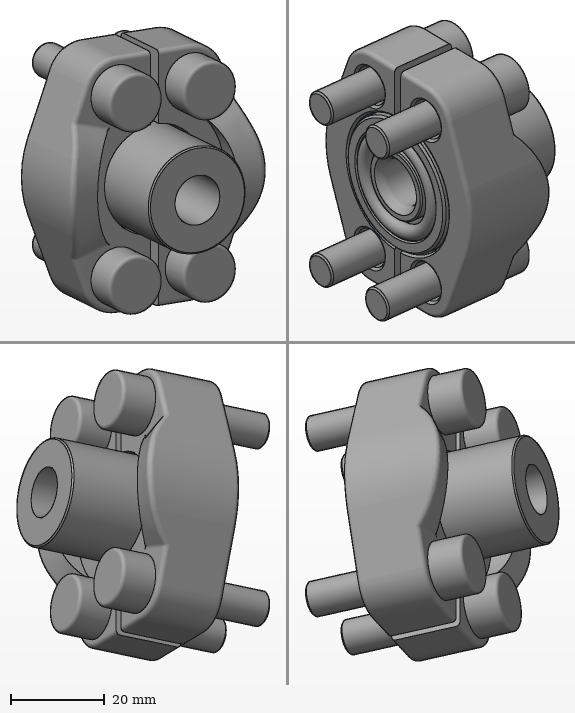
import cadquery as cq
import math


BOLT_SPACING_Y = 18.25
BOLT_SPACING_Z = 40.5
SHANK_D = 7.75
SHANK_TIP_X = -13.95
SHANK_CHAMFER = 0.4
BOLT_HEAD_D = 13.0
BOLT_HEAD_LENGTH = 8.0
BOLT_HEAD_FILLET = 0.8
BOLT_HOLE_D = 9.0
BOLT_HOLE_CHAMFER = 0.55

FLANGE_THICKNESS = 16.1
FLANGE_HEIGHT = 57.0
FLANGE_WIDTH = 47.95
FLANGE_FILLET = 1.0
SPLIT_GAP = 2.0
FLANGE_BORE_D = 24.6
FLANGE_BORE_CHAMFER = 0.7
RECESS_D = 32.5
RECESS_CHAMFER = 0.5

BOSS_PEAK_X = 22.7
BOSS_AXIS_X = -0.15
BOSS_TAPER = 10.0
BOSS_INNER_D = 34.2

HEAD_FACE_X = -0.6
HEAD_BACK_X = 7.1
HEAD_D = 31.75
HEAD_CHAMFER = 0.5
HEAD_BACK_FILLET = 0.35
NECK_FILLET = 0.85
TUBE_D = 23.8
TUBE_END_X = 34.4
TUBE_CHAMFER = 0.35
BORE_D = 11.0
MOUTH_D = 13.0
MOUTH_CHAMFER = 0.35
MOUTH_CONE_LENGTH = 1.7
MOUTH_BLEND = 1.0

GROOVE_OUTER_D = 25.7
GROOVE_INNER_D = 16.8
GROOVE_CHAMFER = 0.35
RING_SECTION_D = 3.5
RING_TIP_X = -1.2

TOLERANCE = 0.005

groove_floor_x = RING_TIP_X + RING_SECTION_D
bolt_y = BOLT_SPACING_Y / 2
bolt_z = BOLT_SPACING_Z / 2
bolt_places = [(y, z) for y in (-bolt_y, bolt_y) for z in (-bolt_z, bolt_z)]
half_width = FLANGE_WIDTH / 2
corner_radius = FLANGE_HEIGHT / 2 - bolt_z
flank_angle = math.atan2(bolt_z, bolt_y) - math.acos(
    (half_width - corner_radius) / math.hypot(bolt_y, bolt_z)
)


def disc(diameter, start_x, end_x):
    """Solid round bar on the X axis."""
    return cq.Workplane("YZ", origin=(start_x, 0, 0)).circle(diameter / 2).extrude(end_x - start_x)


def flange_outline(length):
    """Outline of the whole flange: side arcs, straight flanks and rounded corners."""
    def side_point(y_sign, z_sign):
        return (
            y_sign * half_width * math.cos(flank_angle),
            z_sign * half_width * math.sin(flank_angle),
        )

    def corner_point(y_sign, z_sign, angle):
        return (
            y_sign * (bolt_y + corner_radius * math.cos(angle)),
            z_sign * (bolt_z + corner_radius * math.sin(angle)),
        )

    top = math.pi / 2
    middle = (flank_angle + top) / 2
    return (
        cq.Workplane("YZ")
        .moveTo(*side_point(1, -1))
        .threePointArc((half_width, 0), side_point(1, 1))
        .lineTo(*corner_point(1, 1, flank_angle))
        .threePointArc(corner_point(1, 1, middle), corner_point(1, 1, top))
        .lineTo(*corner_point(-1, 1, top))
        .threePointArc(corner_point(-1, 1, middle), corner_point(-1, 1, flank_angle))
        .lineTo(*side_point(-1, 1))
        .threePointArc((-half_width, 0), side_point(-1, -1))
        .lineTo(*corner_point(-1, -1, flank_angle))
        .threePointArc(corner_point(-1, -1, middle), corner_point(-1, -1, top))
        .lineTo(*corner_point(1, -1, top))
        .threePointArc(corner_point(1, -1, middle), corner_point(1, -1, flank_angle))
        .close()
        .extrude(length)
    )


def side_boss(y_sign):
    """Boss that narrows from the side of the flange toward the axis."""
    cone = (
        cq.Workplane("XZ", origin=(BOSS_AXIS_X, y_sign * half_width, 0))
        .circle(BOSS_PEAK_X - BOSS_AXIS_X)
        .extrude(y_sign * half_width, taper=BOSS_TAPER)
    )
    boss = cone.intersect(flange_outline(BOSS_PEAK_X))
    return boss.cut(disc(BOSS_INNER_D, -BOSS_PEAK_X, BOSS_PEAK_X))


def round_edges(flange):
    """Round both rims and the boss ends, and blend the bosses into the back face."""
    def distance_from_axis(edge):
        middle = edge.positionAt(0.5)
        return math.hypot(middle.y, middle.z)

    rims = [
        edge
        for edge in flange.edges("not |X").vals()
        if distance_from_axis(edge) > BOSS_INNER_D / 2 + TOLERANCE
    ]
    return flange.newObject(rims).fillet(FLANGE_FILLET)


def bevelled_hole(diameter, start_x, end_x, chamfer):
    """Cutter for a hole along the X axis whose mouth at start_x is chamfered."""
    mouth = (
        cq.Workplane("YZ", origin=(start_x, 0, 0))
        .circle(diameter / 2 + chamfer)
        .workplane(offset=chamfer)
        .circle(diameter / 2)
        .loft()
    )
    return disc(diameter, start_x, end_x).union(mouth)


def make_whole_flange():
    """Flange before it is split, with the adapter seat and the bolt holes."""
    flange = flange_outline(FLANGE_THICKNESS)
    for y_sign in (1, -1):
        flange = flange.union(side_boss(y_sign))
    flange = round_edges(flange)
    flange = flange.cut(bevelled_hole(RECESS_D, 0, HEAD_BACK_X, RECESS_CHAMFER))
    flange = flange.cut(bevelled_hole(FLANGE_BORE_D, HEAD_BACK_X, BOSS_PEAK_X, FLANGE_BORE_CHAMFER))
    bolt_hole = bevelled_hole(BOLT_HOLE_D, 0, FLANGE_THICKNESS, BOLT_HOLE_CHAMFER)
    for y, z in bolt_places:
        flange = flange.cut(bolt_hole.translate((0, y, z)))
    return flange


def make_flange_half(whole_flange, y_sign):
    """The part of the flange on one side of the split."""
    side = cq.Workplane("XY").box(
        BOSS_PEAK_X, half_width, FLANGE_HEIGHT, centered=(False, True, True)
    )
    offset = SPLIT_GAP / 2 + half_width / 2
    return whole_flange.intersect(side.translate((0, y_sign * offset, 0)))


def fillet_circle(body, diameter, x, radius):
    """Fillet the circular edge of the given diameter that lies around the X axis at x."""
    circles = [
        edge
        for edge in body.edges("%CIRCLE").vals()
        if abs(edge.Center().x - x) < TOLERANCE and abs(edge.radius() - diameter / 2) < TOLERANCE
    ]
    return body.newObject(circles).fillet(radius)


def make_adapter():
    """Flanged tube with a tapered bore mouth and a seal groove in its face."""
    adapter = disc(HEAD_D, HEAD_FACE_X, HEAD_BACK_X)
    adapter = adapter.faces("<X").chamfer(HEAD_CHAMFER)
    adapter = adapter.faces(">X").edges().fillet(HEAD_BACK_FILLET)
    tube = disc(TUBE_D, HEAD_BACK_X, TUBE_END_X).faces(">X").chamfer(TUBE_CHAMFER)
    adapter = adapter.union(tube)
    adapter = fillet_circle(adapter, TUBE_D, HEAD_BACK_X, NECK_FILLET)
    return adapter.cut(bore_cutter()).cut(groove_cutter())


def bore_cutter():
    """Through bore with a conical mouth that blends smoothly into it."""
    bore_r = BORE_D / 2
    mouth_r = MOUTH_D / 2
    cone_end_x = HEAD_FACE_X + MOUTH_CONE_LENGTH
    bore = (
        cq.Workplane("XY")
        .moveTo(HEAD_FACE_X, 0)
        .lineTo(HEAD_FACE_X, mouth_r + MOUTH_CHAMFER)
        .lineTo(HEAD_FACE_X + MOUTH_CHAMFER, mouth_r)
        .lineTo(cone_end_x, bore_r)
        .lineTo(TUBE_END_X, bore_r)
        .lineTo(TUBE_END_X, 0)
        .close()
        .revolve(360, (0, 0, 0), (1, 0, 0))
    )
    return fillet_circle(bore, BORE_D, cone_end_x, MOUTH_BLEND)


def groove_cutter():
    """Annular groove with chamfered rims."""
    outer_r = GROOVE_OUTER_D / 2
    inner_r = GROOVE_INNER_D / 2
    return (
        cq.Workplane("XY")
        .moveTo(HEAD_FACE_X, inner_r - GROOVE_CHAMFER)
        .lineTo(HEAD_FACE_X + GROOVE_CHAMFER, inner_r)
        .lineTo(groove_floor_x, inner_r)
        .lineTo(groove_floor_x, outer_r)
        .lineTo(HEAD_FACE_X + GROOVE_CHAMFER, outer_r)
        .lineTo(HEAD_FACE_X, outer_r + GROOVE_CHAMFER)
        .close()
        .revolve(360, (0, 0, 0), (1, 0, 0))
    )


def make_seal_ring():
    """O-ring that rests on the floor and the outer wall of the groove."""
    section_r = RING_SECTION_D / 2
    ring_r = GROOVE_OUTER_D / 2 - section_r
    ring = cq.Solid.makeTorus(ring_r, section_r, dir=cq.Vector(1, 0, 0))
    return cq.Workplane(ring).translate((groove_floor_x - section_r, 0, 0))


def make_bolt(y, z):
    """Cap screw whose head seats on the back face of the flange."""
    head = disc(BOLT_HEAD_D, FLANGE_THICKNESS, FLANGE_THICKNESS + BOLT_HEAD_LENGTH)
    head = head.faces(">X").edges().fillet(BOLT_HEAD_FILLET)
    shank = disc(SHANK_D, SHANK_TIP_X, FLANGE_THICKNESS).faces("<X").chamfer(SHANK_CHAMFER)
    return head.union(shank).translate((0, y, z))


whole_flange = make_whole_flange()
flange_halves = [make_flange_half(whole_flange, y_sign) for y_sign in (1, -1)]
adapter = make_adapter()
seal_ring = make_seal_ring()
bolts = [make_bolt(y, z) for y, z in bolt_places]

result = cq.Compound.makeCompound([
    *[half.val() for half in flange_halves],
    adapter.val(),
    seal_ring.val(),
    *[bolt.val() for bolt in bolts],
])